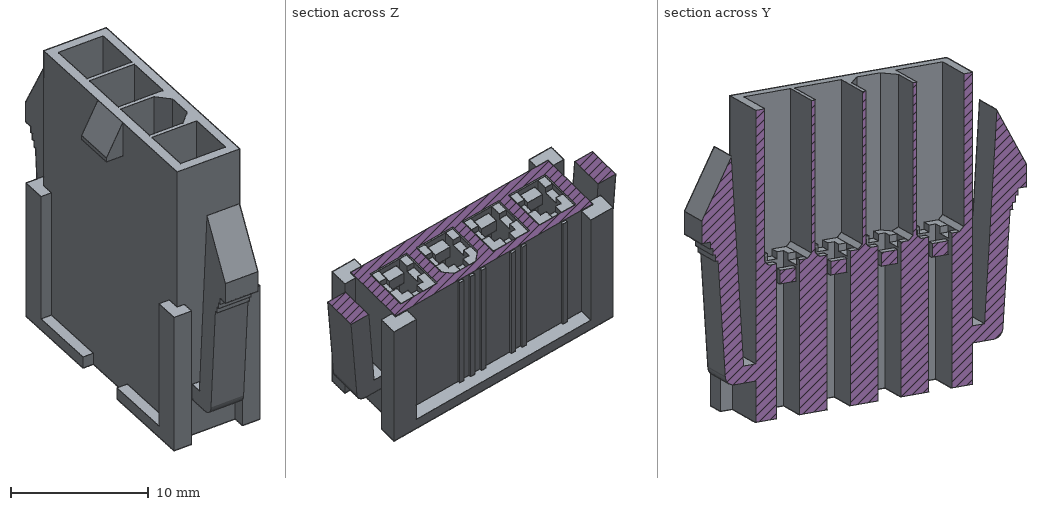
import cadquery as cq

BODY_WIDTH = 18.04
BODY_DEPTH = 5.4
HEIGHT = 23.9

BASE_WIDTH = 20.0
BASE_FRONT = -3.6
BASE_BACK = 3.8
RAIL_TOP = 11.88
RAIL_INNER_X = 7.96
RAIL_FRONT_INNER_Y = -2.08
RAIL_BACK_INNER_Y = 2.3
LEDGE_HEIGHT = 1.0
FRONT_GAP_WIDTH = 4.6

MARK_WIDTH = 0.4
MARK_HEIGHT = 0.2
MARK_PITCH = 1.0

CATCH_WIDTH = 3.35
CATCH_HEIGHT = 2.97
CATCH_LIP = 0.35
CATCH_FRONT = -4.1

OVERALL_WIDTH = 27.0
ARM_FRONT = -1.4
ARM_BACK = 1.4
ARM_BOTTOM = 3.15
ARM_WEB_TOP = 4.5
ARM_ROOT_INNER_X = 10.0
ARM_ROOT_OUTER_X = 11.5
ARM_ROOT_RADIUS = 0.8
ARM_TIP_X = 11.02
ARM_TIP_Z = 20.7
BARB_BOTTOM = 14.4
BARB_TOP = 16.15
STEP_COUNT = 3
STEP_HEIGHT = 0.5
STEP_WIDTH = 0.22
STEP_TOP_X = 12.8

CAVITY_COUNT = 4
CAVITY_PITCH = 4.2
CAVITY_WIDTH = 3.9
CAVITY_FRONT = -1.92
CAVITY_BACK = 1.95
CAVITY_FLOOR = 11.88
KEYED_CAVITY = 2
KEY_CHAMFER = 0.97
TAPER_X = 0.35
TAPER_Y = 0.3
TAPER_HEIGHT = 0.35

HOLE_WIDTH = 1.9
HOLE_BACK = 1.2
TANG_WIDTH = 1.35
TANG_BACK = -0.7
TANG_THICKNESS = 1.08
CROSS_SLOT_BACK = 0.55
GROOVE_WIDTH = 0.8
RECESS_DEPTH = 0.55

throat_width = CAVITY_WIDTH - 2 * TAPER_X
throat_front = CAVITY_FRONT + TAPER_Y


def block(x_range, y_range, z_range):
    """Axis-aligned box given by its limits along X, Y and Z."""
    (x0, x1), (y0, y1), (z0, z1) = x_range, y_range, z_range
    return cq.Workplane("XY").box(x1 - x0, y1 - y0, z1 - z0, centered=False).translate((x0, y0, z0))


def centred_block(x, width, y_range, z_range):
    """Box of the given width centred on x."""
    return block((x - width / 2, x + width / 2), y_range, z_range)


def make_base():
    """Four corner rails joined by thin ledges along the foot."""
    rails = (
        centred_block(0, BASE_WIDTH, (BASE_FRONT, RAIL_FRONT_INNER_Y), (0, RAIL_TOP))
        .union(centred_block(0, BASE_WIDTH, (RAIL_BACK_INNER_Y, BASE_BACK), (0, RAIL_TOP)))
        .cut(block((-RAIL_INNER_X, RAIL_INNER_X), (BASE_FRONT, BASE_BACK), (LEDGE_HEIGHT, RAIL_TOP)))
    )
    return rails.cut(centred_block(0, FRONT_GAP_WIDTH, (BASE_FRONT, 0), (0, LEDGE_HEIGHT)))


def make_catch():
    """Wedge that slopes out from the top edge down to a short lip."""
    face = -BODY_DEPTH / 2
    bottom = HEIGHT - CATCH_HEIGHT
    return (
        cq.Workplane("YZ")
        .moveTo(face, HEIGHT)
        .lineTo(CATCH_FRONT, bottom + CATCH_LIP)
        .lineTo(CATCH_FRONT, bottom)
        .lineTo(0, bottom)
        .lineTo(0, HEIGHT)
        .close()
        .extrude(CATCH_WIDTH / 2, both=True)
    )


def make_latch():
    """Latch arm on the +X end."""
    wall = BODY_WIDTH / 2
    steps = []
    for i in range(STEP_COUNT):
        x = STEP_TOP_X - i * STEP_WIDTH
        z = BARB_BOTTOM - i * STEP_HEIGHT
        steps += [(x, z), (x, z - STEP_HEIGHT)]
    stem_top = (STEP_TOP_X - STEP_COUNT * STEP_WIDTH, BARB_BOTTOM - STEP_COUNT * STEP_HEIGHT)
    outline = [
        (wall, ARM_BOTTOM),
        (wall, ARM_WEB_TOP),
        (ARM_ROOT_INNER_X, ARM_WEB_TOP),
        (ARM_TIP_X, ARM_TIP_Z),
        (OVERALL_WIDTH / 2, BARB_TOP),
        (OVERALL_WIDTH / 2, BARB_BOTTOM),
        *steps,
        stem_top,
        (ARM_ROOT_OUTER_X, ARM_BOTTOM),
    ]
    arm = (
        cq.Workplane("XZ", origin=(0, ARM_BACK, 0))
        .polyline(outline)
        .close()
        .extrude(ARM_BACK - ARM_FRONT)
    )
    root_corner = cq.selectors.NearestToPointSelector((ARM_ROOT_OUTER_X, 0, ARM_BOTTOM))
    return arm.edges(root_corner).fillet(ARM_ROOT_RADIUS)


def make_cavity(x, keyed):
    """Space removed for one terminal: tapering socket, floor recesses and through hole."""
    taper_top = CAVITY_FLOOR + TAPER_HEIGHT
    mouth_depth = CAVITY_BACK - CAVITY_FRONT
    throat_depth = CAVITY_BACK - throat_front
    mouth_y = (CAVITY_BACK + CAVITY_FRONT) / 2
    throat_y = (CAVITY_BACK + throat_front) / 2
    socket = centred_block(x, CAVITY_WIDTH, (CAVITY_FRONT, CAVITY_BACK), (taper_top, HEIGHT))
    taper = (
        cq.Workplane("XY", origin=(x, throat_y, CAVITY_FLOOR))
        .rect(throat_width, throat_depth)
        .workplane(offset=TAPER_HEIGHT)
        .center(0, mouth_y - throat_y)
        .rect(CAVITY_WIDTH, mouth_depth)
        .loft()
    )
    recess_z = (CAVITY_FLOOR - RECESS_DEPTH, CAVITY_FLOOR)
    cavity = (
        socket.union(taper)
        .union(centred_block(x, throat_width, (TANG_BACK, CROSS_SLOT_BACK), recess_z))
        .union(centred_block(x, GROOVE_WIDTH, (HOLE_BACK, CAVITY_BACK), recess_z))
        .union(centred_block(x, HOLE_WIDTH, (throat_front, HOLE_BACK), (0, CAVITY_FLOOR)))
    )
    if keyed:
        corners = centred_block(x, CAVITY_WIDTH, (CAVITY_FRONT, CAVITY_BACK), (0, HEIGHT))
        cavity = cavity.intersect(corners.edges("|Z and >Y").chamfer(KEY_CHAMFER))
    tang_z = (CAVITY_FLOOR - RECESS_DEPTH - TANG_THICKNESS, CAVITY_FLOOR - RECESS_DEPTH)
    return cavity.cut(centred_block(x, TANG_WIDTH, (throat_front, TANG_BACK), tang_z))


def make_marks(x, count):
    """Group of upright ribs on the back face, centred on x."""
    back = BODY_DEPTH / 2
    group = cq.Workplane("XY")
    for i in range(count):
        rib_x = x + (i - (count - 1) / 2) * MARK_PITCH
        group = group.union(centred_block(rib_x, MARK_WIDTH, (0, back + MARK_HEIGHT), (0, RAIL_TOP)))
    return group


cavity_x = [(i - (CAVITY_COUNT - 1) / 2) * CAVITY_PITCH for i in range(CAVITY_COUNT)]

latch = make_latch()
result = centred_block(0, BODY_WIDTH, (-BODY_DEPTH / 2, BODY_DEPTH / 2), (0, HEIGHT))
result = result.union(make_base()).union(make_catch()).union(latch).union(latch.mirror("YZ"))

for i in range(CAVITY_COUNT - 1):
    result = result.union(make_marks(cavity_x[i], i + 1))

for i, x in enumerate(cavity_x):
    result = result.cut(make_cavity(x, i == KEYED_CAVITY))